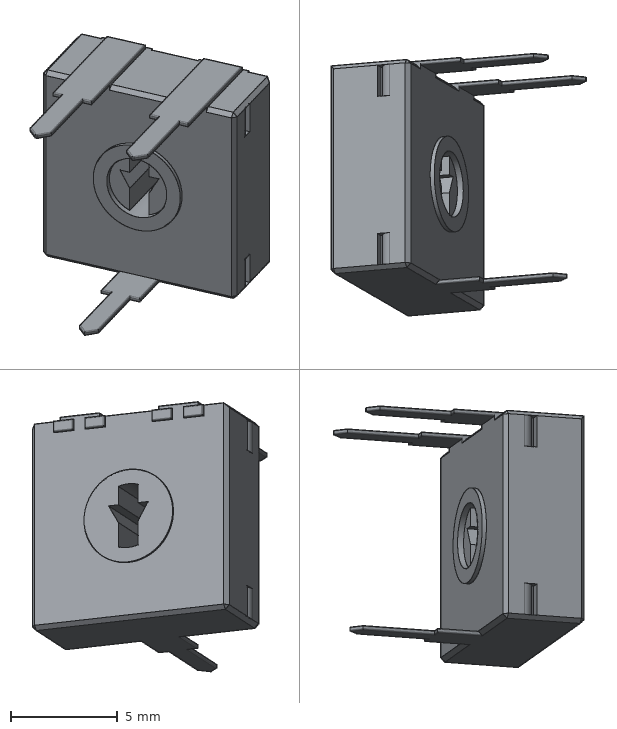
import cadquery as cq
import math


body_size = 10.0
body_depth = 4.0
body_chamfer = 0.2
body_centre_z = body_size / 2

collar_diameter = 4.5
collar_front_height = 0.2
collar_back_height = 0.1
bore_diameter = 3.1
rotor_recess = 0.3
key_slot_width = 1.0
arrow_side = 2.0

lead_thickness = 0.2
lead_edge_radius = 0.05
lead_width = 2.0
lead_offset = 2.5
lead_reach = 6.0
shoulder_reach = 2.0
outer_pin_width = 1.1
centre_pin_width = 1.0
pin_tip_cut = 0.5
centre_lead_anchor = 2.0

pad_width = 1.0
pad_height = 0.53
pad_thickness = 0.15
pad_edge_radius = 0.05
pad_offset = 0.8

groove_front = 1.0
groove_width = 0.6
groove_radius = 0.5
groove_end_height = 1.7


def make_housing():
    """Block with every edge chamfered except the upper back edge."""
    block = cq.Workplane("XY").box(body_size, body_depth, body_size, centered=(True, False, False))
    upper_back_edge = block.edges(">Y and >Z").val()
    chamfered_edges = [edge for edge in block.edges().vals() if not edge.isSame(upper_back_edge)]
    return block.newObject(chamfered_edges).chamfer(body_chamfer)


def front_plane(y):
    """Sketch plane on the adjuster axis at depth y, extruding toward +Y."""
    return cq.Workplane(cq.Plane(origin=(0, y, body_centre_z), xDir=(1, 0, 0), normal=(0, 1, 0)))


def make_collar():
    length = collar_front_height + body_depth + collar_back_height
    return front_plane(-collar_front_height).circle(collar_diameter / 2).extrude(length)


def make_recess():
    """Shallow bore that exposes the front of the rotor."""
    return front_plane(-collar_front_height).circle(bore_diameter / 2).extrude(rotor_recess)


def make_key_hole():
    """Through slot, limited by the bore, with a downward arrow centred on the axis."""
    length = collar_front_height + body_depth + collar_back_height
    start = front_plane(-collar_front_height)
    bore = start.circle(bore_diameter / 2).extrude(length)
    slot = start.rect(key_slot_width, bore_diameter).extrude(length)
    centre_to_side = arrow_side / (2 * math.sqrt(3))
    arrow = start.polyline([
        (-arrow_side / 2, -centre_to_side),
        (arrow_side / 2, -centre_to_side),
        (0, 2 * centre_to_side),
    ]).close().extrude(length)
    return slot.intersect(bore).union(arrow)


def make_lead(x, z, back_y, pin_width):
    """Flat lead pointing to -Y, stepping down to a pin with a pointed tip."""
    half_lead = lead_width / 2
    half_pin = pin_width / 2
    half_tip = half_pin - pin_tip_cut
    right_side = [
        (half_lead, back_y),
        (half_lead, -shoulder_reach),
        (half_pin, -shoulder_reach),
        (half_pin, -lead_reach + pin_tip_cut),
    ]
    left_side = [(-px, py) for px, py in reversed(right_side)]
    if half_tip > 0:
        tip = [(half_tip, -lead_reach), (-half_tip, -lead_reach)]
    else:
        tip = [(0, -lead_reach)]
    blank = cq.Workplane("XY").polyline(right_side + tip + left_side).close().extrude(lead_thickness)
    blank = blank.faces("<Z or >Z").edges().fillet(lead_edge_radius)
    return blank.translate((x, 0, z))


def make_lead_seat(x):
    """Bed along the housing under an upper lead, square where the front edge is otherwise chamfered."""
    seat_height = body_chamfer + lead_edge_radius
    seat = cq.Workplane("XY").box(lead_width, body_depth, seat_height, centered=(True, False, False))
    return seat.translate((x, 0, body_size - body_chamfer))


def make_pad(x):
    pad = cq.Workplane("XY").box(pad_width, pad_thickness, pad_height, centered=(True, False, False))
    pad = pad.faces(">Y").edges().fillet(pad_edge_radius)
    return pad.translate((x, body_depth, body_size - pad_height))


def make_left_groove(bottom_z, top_z):
    side_x = -body_size / 2
    floor_x = side_x + groove_radius
    back_y = groove_front + groove_width
    arc_mid = groove_radius * math.sqrt(0.5)
    return (
        cq.Workplane("XY", origin=(0, 0, bottom_z))
        .moveTo(side_x, groove_front)
        .threePointArc(
            (floor_x - arc_mid, groove_front + arc_mid),
            (floor_x, groove_front + groove_radius),
        )
        .lineTo(floor_x, back_y)
        .lineTo(side_x, back_y)
        .close()
        .extrude(top_z - bottom_z)
    )


result = make_housing().union(make_collar())
result = result.cut(make_recess()).cut(make_key_hole())

groove_spans = [
    (body_chamfer, groove_end_height),
    (body_size - groove_end_height, body_size - body_chamfer),
]
for bottom, top in groove_spans:
    left_groove = make_left_groove(bottom, top)
    result = result.cut(left_groove).cut(left_groove.mirror("YZ"))

for lead_x in (-lead_offset, lead_offset):
    result = result.union(make_lead(lead_x, body_size, body_depth, outer_pin_width))
    result = result.union(make_lead_seat(lead_x))
    for pad_x in (lead_x - pad_offset, lead_x + pad_offset):
        result = result.union(make_pad(pad_x))

result = result.union(make_lead(0, 0, centre_lead_anchor, centre_pin_width))